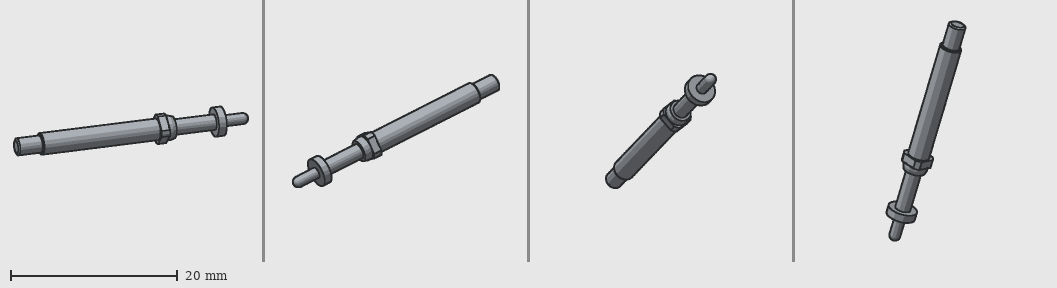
import cadquery as cq

total_length = 29.6
tail_length = 3.02
nut_start = 17.97
nut_thickness = 1.07
collar_end = 20.05
flange_start = 25.28
flange_thickness = 1.0

tail_diameter = 2.1
body_diameter = 2.63
collar_diameter = 3.0
plunger_diameter = 1.9
flange_diameter = 3.55
tip_diameter = 1.35

nut_across_flats = 3.05
nut_corner_diameter = 3.6

tail_bevel_length = 0.18
tail_bevel_depth = 0.27
body_bevel_length = 0.15
body_bevel_depth = 0.15
collar_bevel_length = 0.5
collar_bevel_depth = 0.15


def cylinder(start, end, diameter):
    """Round section along Y, from start to end."""
    plane = cq.Workplane("XZ", origin=(0, start, 0))
    return plane.circle(diameter / 2).extrude(start - end)


def cone(start, end, start_diameter, end_diameter):
    """Tapered section along Y, from start to end."""
    profile = [
        (0, start),
        (start_diameter / 2, start),
        (end_diameter / 2, end),
        (0, end),
    ]
    return cq.Workplane("XY").polyline(profile).close().revolve(360, (0, 0), (0, 1))


def square_nut():
    """Square bar set on its corner, trimmed to the corner circle."""
    nut_end = nut_start + nut_thickness
    square = (
        cq.Workplane("XZ", origin=(0, nut_start, 0))
        .rect(nut_across_flats, nut_across_flats)
        .extrude(-nut_thickness)
        .rotate((0, 0, 0), (0, 1, 0), 45)
    )
    return square.intersect(cylinder(nut_start, nut_end, nut_corner_diameter))


tail_bevel = cone(0, tail_bevel_length, tail_diameter - 2 * tail_bevel_depth, tail_diameter)
tail = cylinder(tail_bevel_length, tail_length, tail_diameter)

body_start = tail_length + body_bevel_length
body_bevel = cone(tail_length, body_start, body_diameter - 2 * body_bevel_depth, body_diameter)
body = cylinder(body_start, nut_start, body_diameter)

taper_start = collar_end - collar_bevel_length
collar = cylinder(nut_start, taper_start, collar_diameter)
collar_taper = cone(taper_start, collar_end, collar_diameter, collar_diameter - 2 * collar_bevel_depth)

plunger = cylinder(collar_end, flange_start, plunger_diameter)
flange_end = flange_start + flange_thickness
flange = cylinder(flange_start, flange_end, flange_diameter)
dome_center = total_length - tip_diameter / 2
tip = cylinder(flange_end, dome_center, tip_diameter)
tip_dome = cq.Workplane("XY", origin=(0, dome_center, 0)).sphere(tip_diameter / 2)

result = tail_bevel
for section in (tail, body_bevel, body, square_nut(), collar, collar_taper, plunger, flange, tip, tip_dome):
    result = result.union(section)